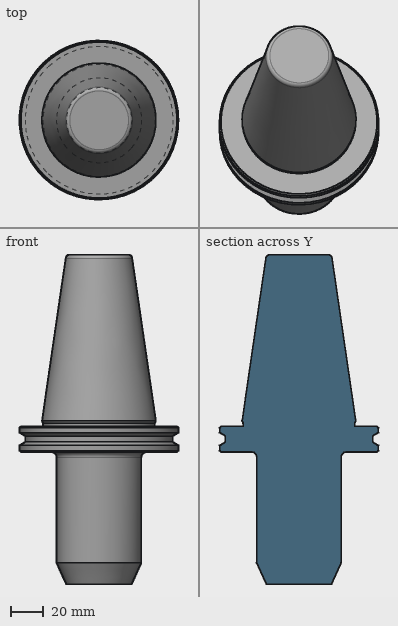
import cadquery as cq
import math

total_height = 201.8
gauge_height = 100.0

gauge_radius = 35.0
taper_ratio = 7 / 48
tip_round = 2.5

neck_radius = 34.3
neck_cone_height = 1.5
neck_straight_height = 1.8

flange_diameter = 97.5
flange_bottom = 81.0
rim_chamfer = 1.0
groove_center = 89.0
groove_floor_radius = 45.2
groove_floor_width = 3.6
groove_wall_angle = 30.0

shank_radius = 26.0
shank_fillet = 3.0
end_radius = 20.0
end_cone_height = 13.3

flange_radius = flange_diameter / 2
flange_top = gauge_height - neck_cone_height - neck_straight_height
tip_radius = gauge_radius - taper_ratio * (total_height - gauge_height)
groove_depth = flange_radius - groove_floor_radius
floor_half = groove_floor_width / 2
mouth_half = floor_half + groove_depth * math.tan(math.radians(groove_wall_angle))


def revolve_outline(points):
    """Turn a closed (radius, height) outline around the Z axis."""
    return cq.Workplane("XZ").polyline(points).close().revolve(360, (0, 0), (0, 1))


def make_taper():
    taper = revolve_outline([
        (0, flange_bottom),
        (neck_radius, flange_bottom),
        (neck_radius, gauge_height - neck_cone_height),
        (gauge_radius, gauge_height),
        (tip_radius, total_height),
        (0, total_height),
    ])
    return taper.faces(">Z").edges().fillet(tip_round)


def make_flange():
    rim_inner = flange_radius - rim_chamfer
    return revolve_outline([
        (0, flange_bottom),
        (rim_inner, flange_bottom),
        (flange_radius, flange_bottom + rim_chamfer),
        (flange_radius, groove_center - mouth_half),
        (groove_floor_radius, groove_center - floor_half),
        (groove_floor_radius, groove_center + floor_half),
        (flange_radius, groove_center + mouth_half),
        (flange_radius, flange_top - rim_chamfer),
        (rim_inner, flange_top),
        (0, flange_top),
    ])


def make_shank():
    root_height = flange_bottom - shank_fillet
    root_radius = shank_radius + shank_fillet
    arc_offset = shank_fillet * math.sqrt(0.5)
    arc_middle = (root_radius - arc_offset, root_height + arc_offset)
    outline = (
        cq.Workplane("XZ")
        .lineTo(end_radius, 0)
        .lineTo(shank_radius, end_cone_height)
        .lineTo(shank_radius, root_height)
        .threePointArc(arc_middle, (root_radius, flange_bottom))
        .lineTo(root_radius, flange_top)
        .lineTo(0, flange_top)
        .close()
    )
    return outline.revolve(360, (0, 0), (0, 1))


result = make_taper().union(make_flange()).union(make_shank())